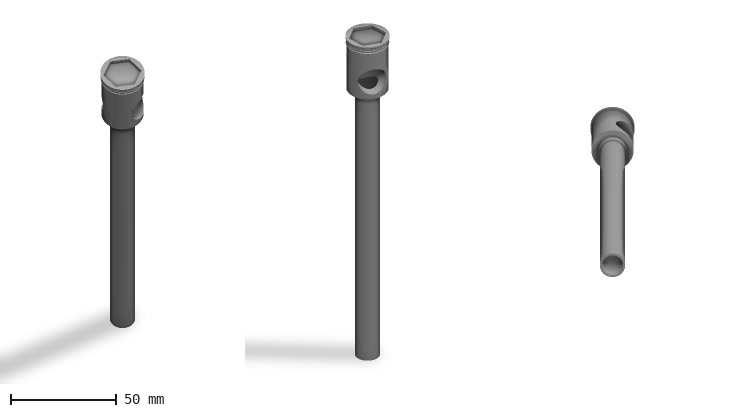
import cadquery as cq
import math

total_length = 179.5

stem_diameter = 12.0
collar_diameter = 13.5
collar_length = 3.0
stem_length = 150.0
bore_diameter = 10.0

head_diameter = 20.0

upper_rim_diameter = 21.0
upper_rim_thickness = 0.7

groove_drop = 2.4
groove_depth = 0.15

lower_rim_diameter = 20.6
lower_rim_bottom_drop = 3.8
lower_rim_thickness = 0.1
lower_rim_cone_height = 0.2

cross_hole_diameter = 14.0
cross_hole_drop = 20.0

socket_flats = 15.8
socket_depth = 2.1


def make_body():
    """Revolve the outer profile: stem, collar, head and the two rims."""
    stem_radius = stem_diameter / 2
    collar_radius = collar_diameter / 2
    head_radius = head_diameter / 2
    upper_rim_radius = upper_rim_diameter / 2
    lower_rim_radius = lower_rim_diameter / 2

    collar_bottom = stem_length - collar_length
    lower_rim_bottom = total_length - lower_rim_bottom_drop
    lower_rim_edge = lower_rim_bottom + lower_rim_thickness
    lower_rim_top = lower_rim_edge + lower_rim_cone_height
    groove_middle = total_length - groove_drop
    upper_rim_edge = total_length - upper_rim_thickness
    upper_rim_bottom = upper_rim_edge - (upper_rim_radius - head_radius)

    return (
        cq.Workplane("XZ")
        .moveTo(0, 0)
        .lineTo(stem_radius, 0)
        .lineTo(stem_radius, collar_bottom)
        .lineTo(collar_radius, collar_bottom)
        .lineTo(collar_radius, stem_length)
        .lineTo(head_radius, stem_length)
        .lineTo(head_radius, lower_rim_bottom)
        .lineTo(lower_rim_radius, lower_rim_bottom)
        .lineTo(lower_rim_radius, lower_rim_edge)
        .lineTo(head_radius, lower_rim_top)
        .lineTo(head_radius, groove_middle - groove_depth)
        .lineTo(head_radius - groove_depth, groove_middle)
        .lineTo(head_radius, groove_middle + groove_depth)
        .lineTo(head_radius, upper_rim_bottom)
        .lineTo(upper_rim_radius, upper_rim_edge)
        .lineTo(upper_rim_radius, total_length)
        .lineTo(0, total_length)
        .close()
        .revolve(360, (0, 0, 0), (0, 1, 0))
    )


def make_cross_hole():
    """Cylinder along X that passes right through the head."""
    return (
        cq.Workplane("YZ", origin=(0, 0, total_length - cross_hole_drop))
        .circle(cross_hole_diameter / 2)
        .extrude(head_diameter, both=True)
    )


def make_bore():
    """Cylinder along the stem, ending at the axis of the cross hole."""
    return (
        cq.Workplane("XY")
        .circle(bore_diameter / 2)
        .extrude(total_length - cross_hole_drop)
    )


def make_socket():
    """Hexagonal recess with two corners on the Y axis."""
    socket_across_corners = socket_flats / math.cos(math.pi / 6)
    return (
        cq.Workplane("XY", origin=(0, 0, total_length - socket_depth))
        .transformed(rotate=(0, 0, 90))
        .polygon(6, socket_across_corners)
        .extrude(socket_depth)
    )


result = make_body().cut(make_cross_hole()).cut(make_bore()).cut(make_socket())